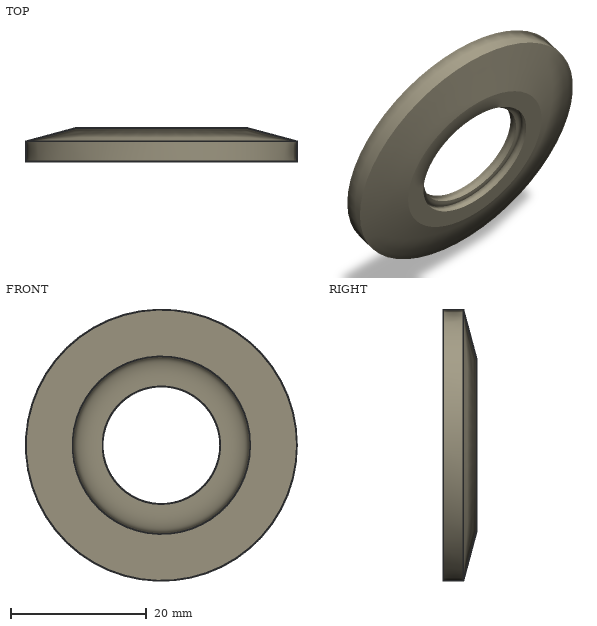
import cadquery as cq
import math

outer_diameter = 40.0
thickness = 5.0
rim_width = 3.0
taper_angle = 15.0

bore_diameter = 17.3
recess_diameter = 26.2
recess_depth = 2.5
socket_diameter = 19.3
socket_depth = 1.16

outer_radius = outer_diameter / 2
taper_height = thickness - rim_width
back_radius = outer_radius - taper_height / math.tan(math.radians(taper_angle))


def flange_body():
    """Solid disc with a cylindrical rim and a conical back towards +Y."""
    half_section = (
        cq.Workplane("XY")
        .moveTo(0, 0)
        .lineTo(outer_radius, 0)
        .lineTo(outer_radius, rim_width)
        .lineTo(back_radius, thickness)
        .lineTo(0, thickness)
        .close()
    )
    return half_section.revolve(360, (0, 0, 0), (0, 1, 0))


def axial_cutter(diameter, start_y, depth):
    """Cylinder on the Y axis running from start_y towards +Y."""
    cutter = cq.Workplane("XZ").circle(diameter / 2).extrude(-depth)
    return cutter.translate((0, start_y, 0))


bore = axial_cutter(bore_diameter, 0, thickness)
recess = axial_cutter(recess_diameter, 0, recess_depth)
socket = axial_cutter(socket_diameter, thickness - socket_depth, socket_depth)

result = flange_body().cut(bore).cut(recess).cut(socket)